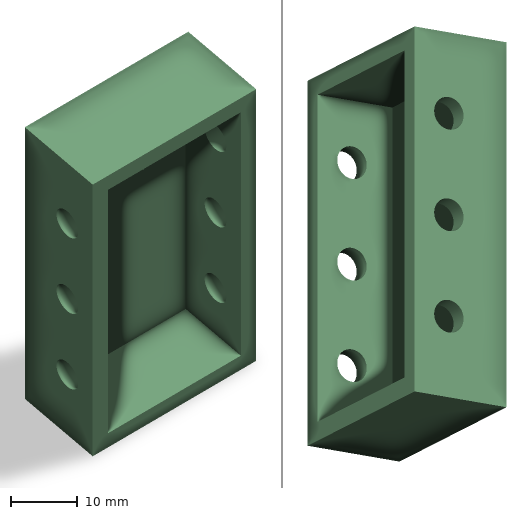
import cadquery as cq

width = 15.9
depth = 31.8
height = 57.15
wall = 3.0

hole_diameter = 5.1
hole_count = 3
hole_spacing = width
hole_offset_x = 2.0

block = cq.Workplane("XY").box(width, depth, height)

pocket = (
    cq.Workplane("XY")
    .box(width, depth - 2 * wall, height - 2 * wall)
    .translate((wall, 0, 0))
)

hole_cutters = (
    cq.Workplane("XZ")
    .center(hole_offset_x, 0)
    .rarray(0.6, hole_spacing, 1, hole_count)
    .circle(hole_diameter / 2)
    .extrude(depth, both=True)
)

result = block.cut(pocket).cut(hole_cutters)